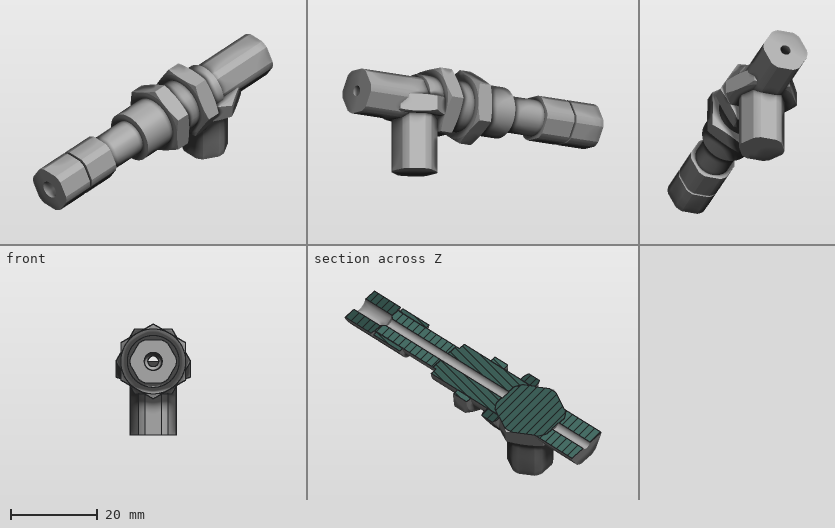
import cadquery as cq
import math

REAR_END = -17.0
HOUSING_REAR = 0.0
REAR_NUT_START = 4.0
FRONT_NUT_START = 12.95
HOUSING_FRONT = 25.0
SPIGOT_FRONT = 26.0
COLLAR_START = 34.95
COLLAR_END = 42.95
END_CAP_START = 43.6
END_CAP_FRONT = 51.5

BRANCH_NUT_TOP = 0.0
BRANCH_BOTTOM = -17.05

NUT_FLATS = 15.0
NUT_THICKNESS = 4.05
NUT_BEVEL_HEIGHT = 0.4

BAR_FLATS = 10.0
BAR_CORNER_DIAMETER = 10.7

HOUSING_DIAMETER = 12.0
STEM_DIAMETER = 8.5
BORE_DIAMETER = 2.5
SOCKET_DIAMETER = 4.2
SEAT_DEPTH = (SOCKET_DIAMETER - BORE_DIAMETER) / 2

SEAM_TURN = 90


def corner_diameter(flats):
    """Distance across the corners of a hexagon, from its distance across the flats."""
    return flats / math.cos(math.pi / 6)


def cylinder(diameter, start, end):
    """Round bar on the Z axis, turned so that its seam stays off the plane of the branch nut's top."""
    bar = cq.Workplane("XY").workplane(offset=start).circle(diameter / 2).extrude(end - start)
    return bar.rotate((0, 0, 0), (0, 0, 1), SEAM_TURN)


def hex_prism(flats, start, end):
    """Sharp hexagonal bar on the Z axis, with corners on +X and -X."""
    plane = cq.Workplane("XY").workplane(offset=start)
    return plane.polygon(6, corner_diameter(flats)).extrude(end - start)


def rounded_hex_bar(start, end):
    """Hexagonal bar on the Z axis whose corners are turned down to a round."""
    return hex_prism(BAR_FLATS, start, end).intersect(cylinder(BAR_CORNER_DIAMETER, start, end))


def hex_nut(start):
    """Solid hexagon nut on the Z axis with the corners beveled on both faces."""
    end = start + NUT_THICKNESS
    face_radius = NUT_FLATS / 2
    corner_radius = corner_diameter(NUT_FLATS) / 2
    envelope = (
        cq.Workplane("XZ")
        .moveTo(0, start)
        .lineTo(face_radius, start)
        .lineTo(corner_radius, start + NUT_BEVEL_HEIGHT)
        .lineTo(corner_radius, end - NUT_BEVEL_HEIGHT)
        .lineTo(face_radius, end)
        .lineTo(0, end)
        .close()
        .revolve(360, (0, 0, 0), (0, 1, 0))
    )
    return hex_prism(NUT_FLATS, start, end).intersect(envelope)


def along_run(body):
    """Lay a body built on +Z down so that it points to the front (-Y)."""
    return body.rotate((0, 0, 0), (1, 0, 0), 90)


def make_branch_nut():
    return hex_nut(BRANCH_NUT_TOP - NUT_THICKNESS)


def make_branch_bar():
    return rounded_hex_bar(BRANCH_BOTTOM, BRANCH_NUT_TOP - NUT_THICKNESS)


def make_rear_bar():
    bar = rounded_hex_bar(REAR_END, HOUSING_REAR)
    return along_run(bar.cut(cylinder(BORE_DIAMETER, REAR_END, HOUSING_REAR)))


def make_housing():
    """Round housing with a short spigot on its front face."""
    barrel = cylinder(HOUSING_DIAMETER, HOUSING_REAR, HOUSING_FRONT)
    spigot = cylinder(STEM_DIAMETER, HOUSING_FRONT, SPIGOT_FRONT)
    bore = cylinder(BORE_DIAMETER, HOUSING_REAR, SPIGOT_FRONT)
    return along_run(barrel.union(spigot).cut(bore))


def make_panel_nut(start, turn):
    """Nut on the housing, turned about the run axis by the given angle."""
    hole = cylinder(HOUSING_DIAMETER, start, start + NUT_THICKNESS)
    return along_run(hex_nut(start).rotate((0, 0, 0), (0, 0, 1), turn).cut(hole))


def make_stem():
    """Round stem with a through bore and a conical seat at its front end."""
    stem = cylinder(STEM_DIAMETER, SPIGOT_FRONT, END_CAP_START)
    bore = cylinder(BORE_DIAMETER, SPIGOT_FRONT, END_CAP_START)
    seat = (
        cq.Workplane("XY")
        .workplane(offset=END_CAP_START - SEAT_DEPTH)
        .circle(BORE_DIAMETER / 2)
        .workplane(offset=SEAT_DEPTH)
        .circle(SOCKET_DIAMETER / 2)
        .loft()
    )
    return along_run(stem.cut(bore).cut(seat))


def make_collar():
    collar = rounded_hex_bar(COLLAR_START, COLLAR_END)
    return along_run(collar.cut(cylinder(STEM_DIAMETER, COLLAR_START, COLLAR_END)))


def make_end_cap():
    cap = rounded_hex_bar(END_CAP_START, END_CAP_FRONT)
    return along_run(cap.cut(cylinder(SOCKET_DIAMETER, END_CAP_START, END_CAP_FRONT)))


branch_nut = make_branch_nut()
branch_bar = make_branch_bar()

rear_bar = make_rear_bar().cut(branch_nut).cut(branch_bar)
housing = make_housing().cut(branch_nut).cut(branch_bar)

panel_nuts = []
for nut_start, nut_turn in ((REAR_NUT_START, 0), (FRONT_NUT_START, 30)):
    panel_nut = make_panel_nut(nut_start, nut_turn)
    panel_nuts.append(panel_nut.cut(branch_nut).cut(branch_bar))

stem = make_stem()
collar = make_collar()
end_cap = make_end_cap()

result = cq.Compound.makeCompound(
    [
        rear_bar.val(),
        housing.val(),
        *[nut.val() for nut in panel_nuts],
        branch_nut.val(),
        branch_bar.val(),
        stem.val(),
        collar.val(),
        end_cap.val(),
    ]
)